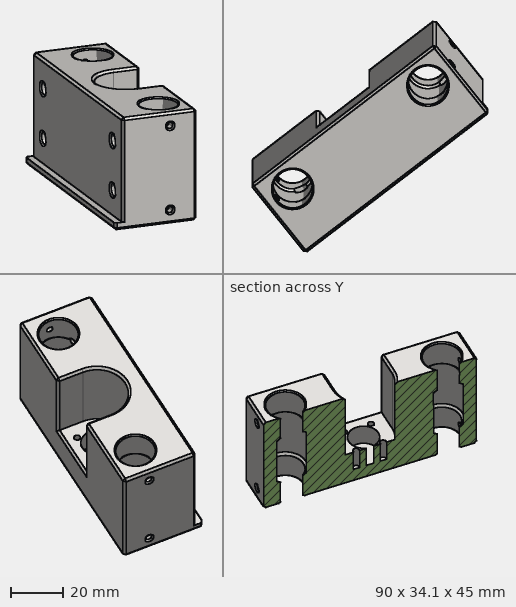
import cadquery as cq

length = 90.0
height = 45.0
body_depth = 31.0
lip_reach = 3.1
lip_height = 3.0
edge_chamfer = 1.0

bore_diameter = 15.2
bore_relief_diameter = 17.2
bore_offset = 33.0
bore_setback = 11.0
bore_rim_chamfer = 0.5
relief_half_height = 10.5

front_hole_diameter = 5.0
front_hole_rim_chamfer = 0.6
front_hole_offset = 35.0
front_hole_spacing = 20.0
front_hole_mid_height = 23.0

side_hole_diameter = 2.5
side_hole_rim_chamfer = 0.6
side_hole_spacing = 34.0

pocket_radius = 12.1
pocket_depth = 30.0
nut_recess_diameter = 12.4
nut_recess_depth = 9.0
nut_screw_diameter = 2.5
nut_screw_spacing = 11.3
nut_screw_depth = 9.0

front_y = -body_depth
bore_y = -bore_setback
mid_z = height / 2
pocket_floor_z = height - pocket_depth
half_length = length / 2


def rimmed_hole(start, direction, diameter, depth, rim):
    """Round cutter with a 45 degree countersink at its start point."""
    radius = diameter / 2
    along = cq.Vector(*direction)
    drill = cq.Solid.makeCylinder(radius, depth, cq.Vector(*start), along)
    countersink = cq.Solid.makeCone(radius + rim, radius, rim, cq.Vector(*start), along)
    return cq.Workplane(drill).union(cq.Workplane(countersink))


def make_pocket():
    """U-shaped cutter: a half-round front end with straight sides to the back."""
    return (
        cq.Workplane("XY", origin=(0, 0, pocket_floor_z))
        .moveTo(-pocket_radius, 0)
        .lineTo(-pocket_radius, bore_y)
        .threePointArc((0, bore_y - pocket_radius), (pocket_radius, bore_y))
        .lineTo(pocket_radius, 0)
        .close()
        .extrude(pocket_depth)
    )


def make_block():
    """L-section block with the pocket cut and its outer edges chamfered."""
    block = (
        cq.Workplane("YZ", origin=(-half_length, 0, 0))
        .moveTo(0, 0)
        .lineTo(0, height)
        .lineTo(front_y, height)
        .lineTo(front_y, lip_height)
        .lineTo(front_y - lip_reach, lip_height)
        .lineTo(front_y - lip_reach, 0)
        .close()
        .extrude(length)
        .cut(make_pocket())
    )
    outer_edges = (
        block.faces(">Z or <Z or >Y").edges()
        .add(block.edges("|Z").edges("<X or >X"))
        .add(block.edges("|Z").edges("<Y"))
    )
    return outer_edges.chamfer(edge_chamfer)


def make_bore(x):
    """Through bore, revolved with its rim chamfers and mid-height relief."""
    radius = bore_diameter / 2
    rim_radius = radius + bore_rim_chamfer
    relief_radius = bore_relief_diameter / 2
    cone_half_height = relief_half_height + relief_radius - radius
    return (
        cq.Workplane("XZ", origin=(x, bore_y, 0))
        .moveTo(0, 0)
        .lineTo(rim_radius, 0)
        .lineTo(radius, bore_rim_chamfer)
        .lineTo(radius, mid_z - cone_half_height)
        .lineTo(relief_radius, mid_z - relief_half_height)
        .lineTo(relief_radius, mid_z + relief_half_height)
        .lineTo(radius, mid_z + cone_half_height)
        .lineTo(radius, height - bore_rim_chamfer)
        .lineTo(rim_radius, height)
        .lineTo(0, height)
        .close()
        .revolve(360, (0, 0, 0), (0, 1, 0))
    )


result = make_block()

for side in (-1, 1):
    bore_x = side * bore_offset
    result = result.cut(make_bore(bore_x))
    for level in (-1, 1):
        front_z = front_hole_mid_height + level * front_hole_spacing / 2
        front_start = (side * front_hole_offset, front_y, front_z)
        front_reach = body_depth - bore_setback
        result = result.cut(
            rimmed_hole(front_start, (0, 1, 0), front_hole_diameter, front_reach, front_hole_rim_chamfer)
        )
        side_start = (side * half_length, bore_y, mid_z + level * side_hole_spacing / 2)
        side_reach = half_length - bore_offset
        result = result.cut(
            rimmed_hole(side_start, (-side, 0, 0), side_hole_diameter, side_reach, side_hole_rim_chamfer)
        )

pocket_floor = cq.Workplane("XY", origin=(0, bore_y, pocket_floor_z))
nut_recess = pocket_floor.circle(nut_recess_diameter / 2).extrude(-nut_recess_depth)
nut_screws = (
    pocket_floor.rect(nut_screw_spacing, nut_screw_spacing, forConstruction=True)
    .vertices()
    .circle(nut_screw_diameter / 2)
    .extrude(-nut_screw_depth)
)
result = result.cut(nut_recess).cut(nut_screws)